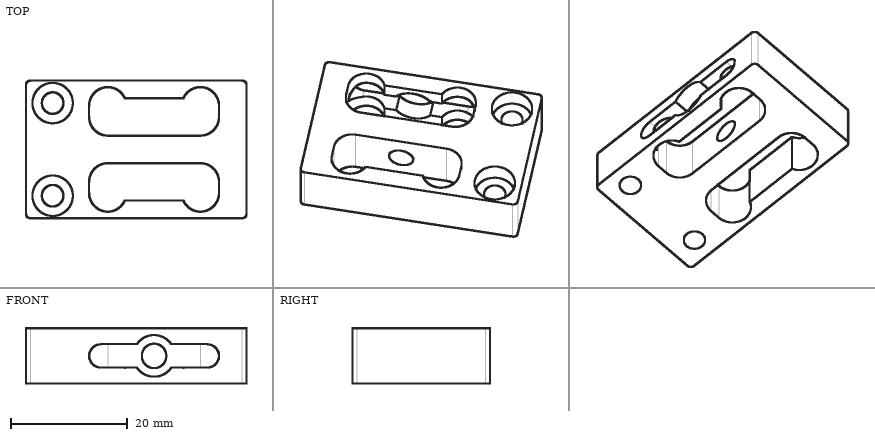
import cadquery as cq
import math

LENGTH = 37.85
WIDTH = 23.62
HEIGHT = 9.53
CORNER_RADIUS = 0.79
OVERCUT = 1.0

HOLE_SPACING = 15.875
HOLE_FROM_END = 4.6
HOLE_DIAMETER = 3.66
COUNTERBORE_DIAMETER = 6.93
COUNTERBORE_DEPTH = 3.3
HOLE_X = HOLE_FROM_END - LENGTH / 2

POCKET_CENTER_FROM_END = 21.98
POCKET_X = POCKET_CENTER_FROM_END - LENGTH / 2
WEB_THICKNESS = 4.76
POCKET_END_RADIUS = 3.175
POCKET_END_SPACING = 15.875
POCKET_LENGTH = POCKET_END_SPACING + 2 * POCKET_END_RADIUS
POCKET_FLAT_WIDTH = 6.35
RELIEF_OFFSET = 5.1
WEB_FACE_Y = WEB_THICKNESS / 2

SLOT_HEIGHT = 4.0
WALL_BORE_DIAMETER = 7.14
WEB_HOLE_DIAMETER = 4.2


def make_block():
    block = cq.Workplane("XY").box(LENGTH, WIDTH, HEIGHT)
    return block.edges("|Z").fillet(CORNER_RADIUS)


def cut_mounting_holes(body):
    return (
        body.faces(">Z")
        .workplane(origin=(HOLE_X, 0, 0))
        .rarray(1, HOLE_SPACING, 1, 2)
        .cboreHole(HOLE_DIAMETER, COUNTERBORE_DIAMETER, COUNTERBORE_DEPTH)
    )


def make_pocket():
    """Cutter for the +Y pocket: rounded slot with round reliefs at its outer corners."""
    round_x = POCKET_END_SPACING / 2
    end_x = round_x + POCKET_END_RADIUS
    diagonal = POCKET_END_RADIUS * math.sqrt(0.5)
    wall_rise = POCKET_FLAT_WIDTH - RELIEF_OFFSET
    land_x = round_x - math.sqrt(POCKET_END_RADIUS**2 - wall_rise**2)
    relief_top = RELIEF_OFFSET + POCKET_END_RADIUS
    inner_arc_x = round_x + diagonal
    inner_arc_y = POCKET_END_RADIUS - diagonal
    return (
        cq.Workplane("XY", origin=(POCKET_X, WEB_FACE_Y, -HEIGHT / 2 - OVERCUT))
        .moveTo(-round_x, 0)
        .lineTo(round_x, 0)
        .threePointArc((inner_arc_x, inner_arc_y), (end_x, POCKET_END_RADIUS))
        .lineTo(end_x, RELIEF_OFFSET)
        .threePointArc((round_x, relief_top), (land_x, POCKET_FLAT_WIDTH))
        .lineTo(-land_x, POCKET_FLAT_WIDTH)
        .threePointArc((-round_x, relief_top), (-end_x, RELIEF_OFFSET))
        .lineTo(-end_x, POCKET_END_RADIUS)
        .threePointArc((-inner_arc_x, inner_arc_y), (-round_x, 0))
        .close()
        .extrude(HEIGHT + 2 * OVERCUT)
    )


def cut_pockets(body):
    pocket = make_pocket()
    return body.cut(pocket).cut(pocket.mirror("XZ"))


def front_cutter_plane(y):
    """Plane at the given Y, facing -Y, centred on the pockets."""
    return cq.Workplane("XZ", origin=(POCKET_X, y, 0))


def cut_front_wall(body):
    start_y = -WEB_FACE_Y - POCKET_FLAT_WIDTH / 2
    depth = WIDTH / 2 + start_y + OVERCUT
    slot = front_cutter_plane(start_y).slot2D(POCKET_LENGTH, SLOT_HEIGHT).extrude(depth)
    bore = front_cutter_plane(start_y).circle(WALL_BORE_DIAMETER / 2).extrude(depth)
    return body.cut(slot).cut(bore)


def cut_web_hole(body):
    hole = (
        front_cutter_plane(WEB_FACE_Y + OVERCUT)
        .circle(WEB_HOLE_DIAMETER / 2)
        .extrude(WEB_THICKNESS + 2 * OVERCUT)
    )
    return body.cut(hole)


result = make_block()
result = cut_mounting_holes(result)
result = cut_pockets(result)
result = cut_front_wall(result)
result = cut_web_hole(result)